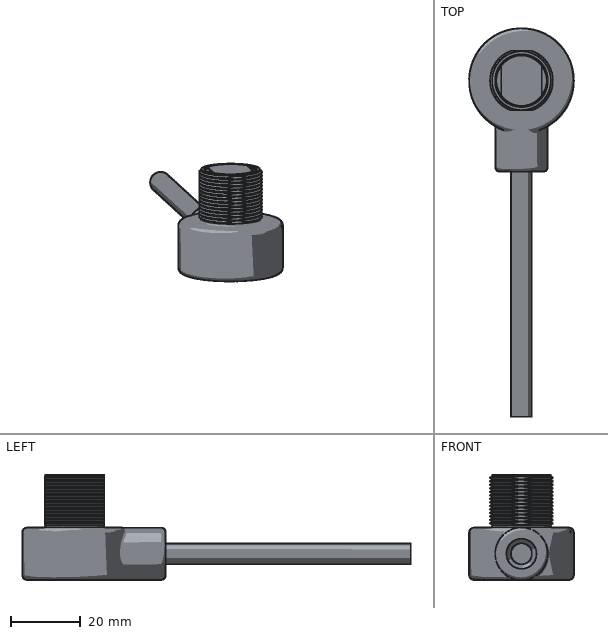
import cadquery as cq
housing_radius = 15.005
housing_height = 15.02
housing_edge_fillet = 1.5

stud_height = 15.0
stud_flat_distance = 8.5
stud_rim_chamfer = 0.35
neck_height = 0.7
neck_flare = 0.5
thread_pitch = 1.0
thread_ridges = 14
thread_crest_radius = 9.0
thread_root_radius = 8.4

lens_radius = 7.2
lens_thickness = 2.0
lens_flat_distance = 5.85
lens_step_depth = 0.3

sleeve_radius = 7.5
sleeve_end_y = -26.0
sleeve_end_fillet = 1.3
sleeve_root_fillet = 0.8
sleeve_mouth_radius = 4.3
sleeve_mouth_depth = 2.0

cable_radius = 3.0
cable_seat_depth = 8.0
cable_end_y = -96.045

stud_top_z = housing_height + stud_height
sleeve_axis_z = housing_height / 2
thread_bottom_z = housing_height + neck_height
cable_start_y = sleeve_end_y + cable_seat_depth


def cylinder_along_z(radius, bottom_z, height):
    return cq.Workplane("XY", origin=(0, 0, bottom_z)).circle(radius).extrude(height)


def cylinder_along_y(radius, start_y, end_y):
    """Cylinder on the sleeve axis that runs from start_y down to end_y."""
    start = cq.Workplane("XZ", origin=(0, start_y, sleeve_axis_z))
    return start.circle(radius).extrude(start_y - end_y)


def make_disc_with_sleeve():
    disc = cylinder_along_z(housing_radius, 0, housing_height)
    disc = disc.faces("<Z or >Z").edges().fillet(housing_edge_fillet)
    sleeve = cylinder_along_y(sleeve_radius, 0, sleeve_end_y)
    sleeve = sleeve.faces("<Y").edges().fillet(sleeve_end_fillet)
    sleeve_root = cq.selectors.BoxSelector(
        (-sleeve_radius, -housing_radius, 0),
        (sleeve_radius, -housing_radius + 2 * housing_edge_fillet, housing_height),
    )
    return disc.union(sleeve).edges(sleeve_root).fillet(sleeve_root_fillet)


def make_lens_blank():
    return cylinder_along_z(lens_radius, stud_top_z - lens_thickness, lens_thickness)


def make_lens():
    """Round lens whose two sides, beyond the flats, step down from the top."""
    side = 2 * housing_radius
    start = cq.Workplane("XY", origin=(0, 0, stud_top_z - lens_step_depth))
    block = start.rect(side, side).extrude(lens_step_depth)
    steps = block.cut(start.rect(2 * lens_flat_distance, side).extrude(lens_step_depth))
    return make_lens_blank().cut(steps)


def make_cable():
    return cylinder_along_y(cable_radius, cable_start_y, cable_end_y)


def make_stud():
    """Plain neck that flares onto the disc, and above it a barrel with V-shaped thread ridges."""
    foot_z = housing_height - housing_edge_fillet
    flare_radius = thread_root_radius + neck_flare
    profile = (
        cq.Workplane("XZ")
        .moveTo(0, foot_z)
        .lineTo(flare_radius, foot_z)
        .lineTo(flare_radius, housing_height)
        .radiusArc((thread_root_radius, housing_height + neck_flare), neck_flare)
        .lineTo(thread_root_radius, thread_bottom_z)
    )
    for ridge in range(thread_ridges):
        ridge_z = thread_bottom_z + ridge * thread_pitch
        profile = profile.lineTo(thread_crest_radius, ridge_z + thread_pitch / 2)
        profile = profile.lineTo(thread_root_radius, ridge_z + thread_pitch)
    profile = profile.lineTo(thread_root_radius, stud_top_z).lineTo(0, stud_top_z).close()
    return profile.revolve(360, (0, 0, 0), (0, 1, 0))


def make_flat_cutter():
    """Everything beyond the flats on the +Y and -Y sides of the threaded length."""
    side = 2 * housing_radius
    start = cq.Workplane("XY", origin=(0, 0, thread_bottom_z))
    block = start.rect(side, side).extrude(stud_height)
    return block.cut(start.rect(side, 2 * stud_flat_distance).extrude(stud_height))


def make_sleeve_mouth():
    """Cone that narrows from the sleeve's end face down to the cable."""
    return cq.Workplane(
        cq.Solid.makeCone(
            sleeve_mouth_radius,
            cable_radius,
            sleeve_mouth_depth,
            cq.Vector(0, sleeve_end_y, sleeve_axis_z),
            cq.Vector(0, 1, 0),
        )
    )


def make_housing():
    stud = make_stud().cut(make_flat_cutter()).cut(make_lens_blank())
    lens_rim = cq.selectors.RadiusNthSelector(0)
    stud = stud.faces(">Z").edges(lens_rim).chamfer(stud_rim_chamfer)
    housing = make_disc_with_sleeve().union(stud)
    return housing.cut(make_cable()).cut(make_sleeve_mouth())


housing = make_housing()
lens = make_lens()
cable = make_cable()
result = cq.Compound.makeCompound([housing.val(), lens.val(), cable.val()])